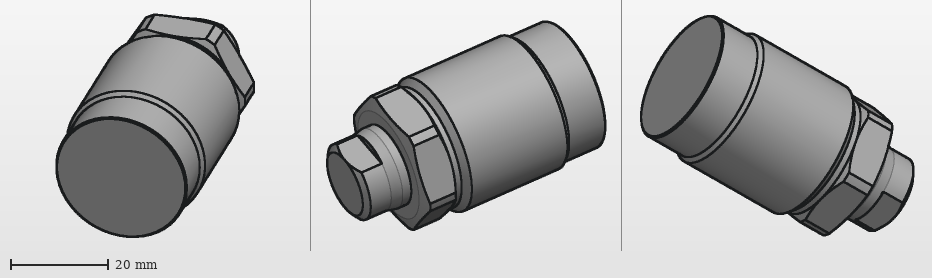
import cadquery as cq
import math


length = 54.5
collar_end = 8.95
sleeve_start = 9.9
sleeve_end = 33.0
neck_start = 34.55
hex_start = 36.0
hex_end = 44.0

sleeve_diameter = 30.0
collar_diameter = 28.3
neck_diameter = 27.0
hex_across_flats = neck_diameter
hex_sides = 6
front_chamfer = 0.25

hex_front_bevel_angle = 30.0
hex_rear_bevel_angle = 17.0
hex_rear_face_diameter = 24.1

stub_diameter = 18.0
shank_diameter = 16.95
taper_start = 46.05
taper_end = 48.5
tip_chamfer_length = 1.05
tip_face_diameter = 14.05
flat_spacing = 14.0


def revolve_about_y(profile):
    """Revolve (radius, y) points, closed along the Y axis, into a solid."""
    start_y = profile[0][1]
    end_y = profile[-1][1]
    outline = [(0, start_y)] + profile + [(0, end_y)]
    return cq.Workplane("XY").polyline(outline).close().revolve(360, (0, 0, 0), (0, 1, 0))


def make_hexagon():
    """Hexagon with flats at +Z and -Z, rounded to the sleeve diameter and bevelled at both ends."""
    across_corners = hex_across_flats / math.cos(math.pi / hex_sides)
    prism = (
        cq.Workplane("XZ", origin=(0, hex_start, 0))
        .polygon(hex_sides, across_corners)
        .extrude(-(hex_end - hex_start))
    )
    corner_radius = sleeve_diameter / 2
    front_radius = neck_diameter / 2
    rear_radius = hex_rear_face_diameter / 2
    front_bevel = (corner_radius - front_radius) * math.tan(math.radians(hex_front_bevel_angle))
    rear_bevel = (corner_radius - rear_radius) * math.tan(math.radians(hex_rear_bevel_angle))
    envelope = revolve_about_y([
        (front_radius, hex_start),
        (corner_radius, hex_start + front_bevel),
        (corner_radius, hex_end - rear_bevel),
        (rear_radius, hex_end),
    ])
    return prism.intersect(envelope)


def make_housing():
    """Front collar, sleeve and neck turned in one piece with the hexagon."""
    collar_radius = collar_diameter / 2
    sleeve_radius = sleeve_diameter / 2
    neck_radius = neck_diameter / 2
    turned = revolve_about_y([
        (collar_radius - front_chamfer, 0),
        (collar_radius, front_chamfer),
        (collar_radius, collar_end),
        (sleeve_radius, sleeve_start),
        (sleeve_radius, sleeve_end),
        (neck_radius, neck_start),
        (neck_radius, hex_start),
    ])
    return turned.union(make_hexagon())


def make_stub():
    """Tapered stub seated on the hexagon, with two wrench flats on its shank."""
    shank_radius = shank_diameter / 2
    stub = revolve_about_y([
        (stub_diameter / 2, hex_end),
        (stub_diameter / 2, taper_start),
        (shank_radius, taper_end),
        (shank_radius, length - tip_chamfer_length),
        (tip_face_diameter / 2, length),
    ])
    flat_length = length - taper_end
    for side in (-1, 1):
        cutter = cq.Workplane("XY").box(shank_diameter, flat_length, shank_diameter).translate(
            (0, taper_end + flat_length / 2, side * (flat_spacing + shank_diameter) / 2)
        )
        stub = stub.cut(cutter)
    return stub


housing = make_housing()
stub = make_stub()
result = cq.Compound.makeCompound([housing.solids().val(), stub.solids().val()])